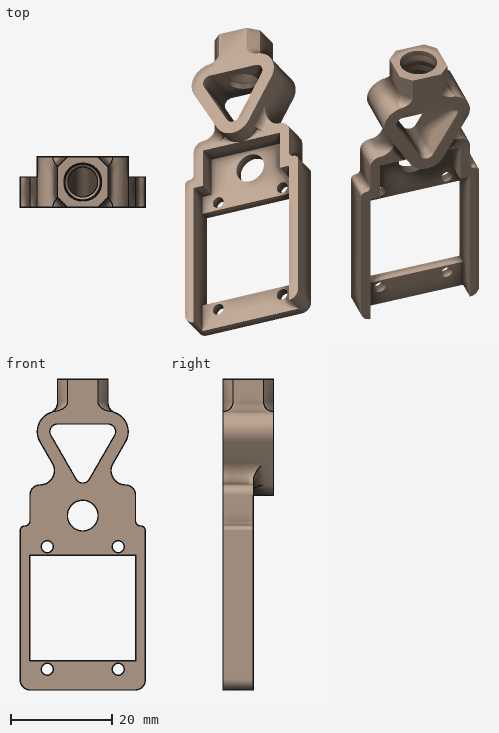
import cadquery as cq
import math

height = 61.35
plate_width = 24.7
plate_thickness = 6.0
head_depth = 10.0
plate_corner_radius = 2.0

neck_width = head_depth
neck_chamfer = 2.0
neck_fillet = 2.0
bore_radius = 2.95
mouth_radius = 3.7
crest_radius = 3.55
groove_radius = 3.8
groove_pitch = 2.4
groove_count = 3
taper_height = 0.6

loop_center_x = neck_width / 2
loop_center_z = 51.0
loop_radius = 4.0
opening_radius = 1.5
apex_z = loop_center_z - loop_center_x * math.sqrt(3)
cos30 = math.cos(math.radians(30))
sin30 = math.sin(math.radians(30))
cos45 = math.cos(math.radians(45))
side_fillet = 1.85

shoulder_half_width = 10.45
shoulder_radius = 2.0
shoulder_z = 40.5
step_z = 32.4

web_thickness = 2.0
pocket_half_width = shoulder_half_width
upper_pocket_half_width = shoulder_half_width - web_thickness
pocket_top_z = apex_z - loop_radius

pivot_z = 34.4
pivot_radius = 3.0
window_bottom_z = 5.8
window_height = 20.75
window_width = 2 * shoulder_half_width
screw_x = 7.0
screw_z_levels = (4.1, 28.3)
screw_radius = 1.15


def front_plane(y=0):
    """Sketch plane at depth y: local axes are X and Z, and negative extrusion runs toward +Y."""
    return cq.Workplane("XZ", origin=(0, y, 0))


def rounded_triangle(radius, depth):
    """Downward-pointing triangle with all three corners rounded about the loop centres."""
    x_tangent = loop_center_x + radius * cos30
    z_tangent = loop_center_z - radius * sin30
    return (
        front_plane()
        .moveTo(-loop_center_x, loop_center_z + radius)
        .lineTo(loop_center_x, loop_center_z + radius)
        .threePointArc(
            (loop_center_x + radius * cos30, loop_center_z + radius * sin30),
            (x_tangent, z_tangent),
        )
        .lineTo(radius * cos30, apex_z - radius * sin30)
        .threePointArc((0, apex_z - radius), (-radius * cos30, apex_z - radius * sin30))
        .lineTo(-x_tangent, z_tangent)
        .threePointArc(
            (-loop_center_x - radius * cos30, loop_center_z + radius * sin30),
            (-loop_center_x, loop_center_z + radius),
        )
        .close()
        .extrude(-depth)
    )


def plate_body():
    """Flat plate up to the waist, where it runs into the sides of the triangular loop."""
    waist_x = shoulder_half_width - shoulder_radius
    side_offset = loop_radius - apex_z * sin30
    waist_radius = (waist_x * cos30 - side_offset - shoulder_z * sin30) / (1 + sin30)
    waist_z = shoulder_z + waist_radius
    tangent_point = (waist_x - waist_radius * cos30, waist_z + waist_radius * sin30)
    shoulder_center_z = shoulder_z - shoulder_radius

    half_width = plate_width / 2
    step_radius = (half_width - shoulder_half_width) / 2
    step_mid_x = shoulder_half_width + step_radius
    step_near = step_radius * (1 - cos45)
    step_far = step_radius * cos45
    corner_near = plate_corner_radius * (1 - cos45)

    half = (
        front_plane()
        .lineTo(half_width - plate_corner_radius, 0)
        .threePointArc((half_width - corner_near, corner_near), (half_width, plate_corner_radius))
        .lineTo(half_width, step_z - step_radius)
        .threePointArc((step_mid_x + step_far, step_z - step_near), (step_mid_x, step_z))
        .threePointArc(
            (shoulder_half_width + step_near, step_z + step_near),
            (shoulder_half_width, step_z + step_radius),
        )
        .lineTo(shoulder_half_width, shoulder_center_z)
        .threePointArc(
            (waist_x + shoulder_radius * cos45, shoulder_center_z + shoulder_radius * cos45),
            (waist_x, shoulder_z),
        )
        .threePointArc((waist_x - waist_radius * cos45, waist_z - waist_radius * cos45), tangent_point)
        .lineTo(0, tangent_point[1])
        .close()
        .extrude(-plate_thickness)
    )
    return half.union(half.mirror("YZ"))


def head_body():
    """Triangular loop with the octagonal neck, whose foot flares into the loop."""
    half_neck = neck_width / 2
    loop_top_z = loop_center_z + loop_radius
    reach = loop_radius + neck_fillet
    flare_rise = math.sqrt(reach**2 - neck_fillet**2)
    flare_z = loop_center_z + flare_rise
    touch_x = half_neck + neck_fillet * loop_radius / reach
    touch_z = loop_center_z + flare_rise * loop_radius / reach
    flare_mid_angle = (math.pi + math.atan2(-flare_rise, -neck_fillet) % (2 * math.pi)) / 2
    flare_mid = (
        half_neck + neck_fillet + neck_fillet * math.cos(flare_mid_angle),
        flare_z + neck_fillet * math.sin(flare_mid_angle),
    )
    half = (
        front_plane()
        .moveTo(0, loop_center_z)
        .lineTo(loop_center_x, loop_center_z)
        .lineTo(touch_x, touch_z)
        .threePointArc(flare_mid, (half_neck, flare_z))
        .lineTo(half_neck, height)
        .lineTo(0, height)
        .close()
        .extrude(-head_depth)
    )
    neck = half.union(half.mirror("YZ"))

    face_distance = (neck_width - neck_chamfer) * cos45
    cut_reach = neck_width
    for angle in (45, 135, 225, 315):
        direction = (math.cos(math.radians(angle)), math.sin(math.radians(angle)), 0)
        plane = cq.Plane(
            origin=(0, head_depth / 2, 0),
            xDir=direction,
            normal=(direction[1], -direction[0], 0),
        )
        corner = (
            cq.Workplane(plane)
            .moveTo(face_distance, height)
            .lineTo(face_distance, loop_top_z + neck_fillet)
            .threePointArc(
                (face_distance + neck_fillet * (1 - cos45), loop_top_z + neck_fillet * (1 - cos45)),
                (face_distance + neck_fillet, loop_top_z),
            )
            .lineTo(cut_reach, loop_top_z)
            .lineTo(cut_reach, height)
            .close()
            .extrude(cut_reach, both=True)
        )
        neck = neck.cut(corner)
    return rounded_triangle(loop_radius, head_depth).union(neck)


def side_fillets(plate):
    """Concave blends between the sloping loop sides and the back of the plate."""
    side_length = 2 * loop_center_x
    start = (loop_radius * cos30, plate_thickness, apex_z - loop_radius * sin30)
    plane = cq.Plane(origin=start, xDir=(cos30, 0, -sin30), normal=(sin30, 0, cos30))
    arc_mid = side_fillet * (1 - cos45)
    blend = (
        cq.Workplane(plane)
        .moveTo(0, 0)
        .lineTo(side_fillet, 0)
        .threePointArc((arc_mid, arc_mid), (0, side_fillet))
        .close()
        .extrude(side_length)
    )
    outline = plate.translate((0, plate_thickness, 0))
    return blend.union(blend.mirror("YZ")).intersect(outline)


def bore():
    """Vertical bore from the neck top into the triangular opening, with ring grooves and a tapered end."""
    profile = (
        cq.Workplane("XZ", origin=(0, head_depth / 2, 0))
        .moveTo(0, height)
        .lineTo(mouth_radius, height)
    )
    for index in range(groove_count):
        groove_z = height - (index + 0.5) * groove_pitch
        profile = profile.lineTo(groove_radius, groove_z).lineTo(crest_radius, groove_z - groove_pitch / 2)
    taper_end_z = height - groove_count * groove_pitch - taper_height
    profile = profile.lineTo(bore_radius, taper_end_z)
    profile = profile.lineTo(bore_radius, loop_center_z).lineTo(0, loop_center_z).close()
    return profile.revolve(360, (0, 0, 0), (0, 1, 0))


def back_pocket():
    """Pocket behind the web: wide below the side steps, narrower behind the shoulders."""
    depth = plate_thickness - web_thickness
    upper_start_z = step_z - web_thickness
    upper_height = pocket_top_z - upper_start_z
    wide = (
        front_plane(web_thickness)
        .center(0, upper_start_z / 2)
        .rect(2 * pocket_half_width, upper_start_z)
        .extrude(-depth)
    )
    narrow = (
        front_plane(web_thickness)
        .center(0, upper_start_z + upper_height / 2)
        .rect(2 * upper_pocket_half_width, upper_height)
        .extrude(-depth)
    )
    return wide.union(narrow)


def plate_holes():
    """Pivot hole, rectangular window and four screw holes."""
    screw_points = [(side * screw_x, z) for side in (-1, 1) for z in screw_z_levels]
    pivot = front_plane().center(0, pivot_z).circle(pivot_radius).extrude(-plate_thickness)
    window = (
        front_plane()
        .center(0, window_bottom_z + window_height / 2)
        .rect(window_width, window_height)
        .extrude(-plate_thickness)
    )
    screws = front_plane().pushPoints(screw_points).circle(screw_radius).extrude(-plate_thickness)
    return pivot.union(window).union(screws)


plate_blank = plate_body()
result = (
    plate_blank.union(head_body())
    .union(side_fillets(plate_blank))
    .cut(rounded_triangle(opening_radius, head_depth))
    .cut(bore())
    .cut(back_pocket())
    .cut(plate_holes())
)